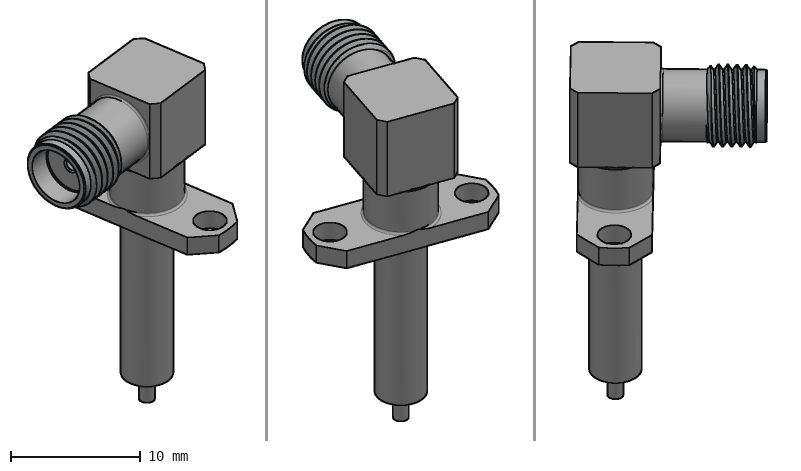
import cadquery as cq
import math

body_side = 6.98
body_bevel = 0.6
body_top = 13.1

flange_length = 15.88
flange_width = 5.8
flange_thickness = 1.62
flange_corner_x = 6.1
flange_end_half_width = 1.2
screw_spacing = 2 * flange_corner_x
screw_hole_diameter = 2.6

neck_diameter = 5.8
neck_fillet = 0.18

dielectric_diameter = 4.1
dielectric_length = 15.02
pin_diameter = 1.25
pin_length = 2.48

barrel_diameter = 5.63
barrel_reach = 11.7
barrel_fillet = 0.18
barrel_tip_chamfer = 0.1

thread_diameter = 6.35
thread_near = 0.75
thread_far = 4.62
thread_root_width = 0.58
thread_crest_width = 0.05
thread_embed = 0.03
thread_turns = 7
helix_length = 4.95
thread_trim_clearance = 0.03
thread_start = 0.3

bore_diameter = 4.6
bore_depth = 1.9
bore_floor_chamfer = 0.1
contact_diameter = 0.98
contact_depth = 1.85
contact_chamfer = 0.12

flange_radius = flange_length / 2
thread_pitch = helix_length / thread_turns
half_body = body_side / 2
body_bottom = body_top - body_side
barrel_axis_z = body_top - half_body
bevelled_face_width = body_side - 2 * body_bevel

tip_plane = cq.Plane(
    origin=(0, -barrel_reach, barrel_axis_z),
    xDir=(1, 0, 0),
    normal=(0, 1, 0),
)


def cylinder(plane, diameter, length):
    return cq.Workplane(plane).circle(diameter / 2).extrude(length)


def fillet_ring(diameter, size):
    """Concave fillet around a cylinder standing on the XY plane."""
    radius = diameter / 2
    return (
        cq.Workplane("XZ")
        .moveTo(0, 0)
        .lineTo(radius + size, 0)
        .radiusArc((radius, size), size)
        .lineTo(0, size)
        .close()
        .revolve(360, (0, 0, 0), (0, 1, 0))
    )


def make_body():
    cube = (
        cq.Workplane("XY", origin=(0, 0, body_bottom))
        .rect(body_side, body_side)
        .extrude(body_side)
        .edges("|Z")
        .chamfer(body_bevel)
    )
    cone = (
        cq.Workplane("XY", origin=(0, 0, body_bottom))
        .circle(half_body)
        .workplane(offset=-body_bevel)
        .circle(neck_diameter / 2)
        .loft()
    )
    return cube.union(cone)


def make_flange():
    half_width = flange_width / 2
    end_x = math.sqrt(flange_radius**2 - flange_end_half_width**2)
    flange = (
        cq.Workplane("XY")
        .moveTo(-flange_corner_x, half_width)
        .lineTo(flange_corner_x, half_width)
        .lineTo(end_x, flange_end_half_width)
        .threePointArc((flange_radius, 0), (end_x, -flange_end_half_width))
        .lineTo(flange_corner_x, -half_width)
        .lineTo(-flange_corner_x, -half_width)
        .lineTo(-end_x, -flange_end_half_width)
        .threePointArc((-flange_radius, 0), (-end_x, flange_end_half_width))
        .close()
        .extrude(flange_thickness)
    )
    holes = (
        cq.Workplane("XY")
        .pushPoints([(-screw_spacing / 2, 0), (screw_spacing / 2, 0)])
        .circle(screw_hole_diameter / 2)
        .extrude(flange_thickness)
    )
    return flange.cut(holes)


def make_neck():
    neck = cylinder("XY", neck_diameter, body_bottom)
    trim = cq.Workplane("XY").box(2 * flange_radius, flange_width, 2 * neck_fillet)
    ring = fillet_ring(neck_diameter, neck_fillet).intersect(trim)
    return neck.union(ring.translate((0, 0, flange_thickness)))


def make_cable():
    dielectric = cylinder("XY", dielectric_diameter, -dielectric_length)
    pin = cylinder("XY", pin_diameter, -(dielectric_length + pin_length))
    return dielectric.union(pin)


def make_barrel():
    barrel = cylinder(tip_plane, barrel_diameter, barrel_reach)
    barrel = barrel.faces("<Y").chamfer(barrel_tip_chamfer)
    trim = cq.Workplane("XY").box(bevelled_face_width, body_side, 2 * barrel_fillet)
    ring = fillet_ring(barrel_diameter, barrel_fillet).intersect(trim)
    ring = ring.rotate((0, 0, 0), (1, 0, 0), 90)
    return barrel.union(ring.translate((0, -half_body, barrel_axis_z)))


def make_thread():
    root_radius = barrel_diameter / 2
    crest_radius = thread_diameter / 2
    flank_slope = (thread_root_width - thread_crest_width) / (crest_radius - root_radius)
    buried_radius = root_radius - thread_embed
    buried_width = thread_root_width + flank_slope * thread_embed
    helix = cq.Wire.makeHelix(thread_pitch, helix_length, root_radius)
    ridge = (
        cq.Workplane("XZ")
        .polyline([
            (buried_radius, -buried_width / 2),
            (crest_radius, -thread_crest_width / 2),
            (crest_radius, thread_crest_width / 2),
            (buried_radius, buried_width / 2),
        ])
        .close()
        .sweep(cq.Workplane(helix), isFrenet=True)
        .translate((0, 0, thread_start))
    )
    sleeve_radius = crest_radius + thread_trim_clearance
    sleeve = (
        cq.Workplane("XY", origin=(0, 0, thread_near))
        .circle(sleeve_radius)
        .extrude(thread_far - thread_near)
        .edges()
        .chamfer(sleeve_radius - root_radius)
    )
    thread = ridge.intersect(sleeve)
    return cq.Workplane(thread.val().moved(cq.Location(tip_plane)))


def make_socket():
    bore = cylinder(tip_plane, bore_diameter, bore_depth)
    bore = bore.faces(">Y").chamfer(bore_floor_chamfer)
    floor_plane = cq.Plane(
        origin=(0, bore_depth - barrel_reach, barrel_axis_z),
        xDir=(1, 0, 0),
        normal=(0, 1, 0),
    )
    contact = cylinder(floor_plane, contact_diameter, contact_depth)
    mouth = (
        cq.Workplane(floor_plane)
        .circle(contact_diameter / 2 + contact_chamfer)
        .workplane(offset=contact_chamfer)
        .circle(contact_diameter / 2)
        .loft()
    )
    return bore.union(contact).union(mouth)


result = (
    make_flange()
    .union(make_neck())
    .union(make_cable())
    .union(make_body())
    .union(make_barrel())
    .union(make_thread())
    .cut(make_socket())
)